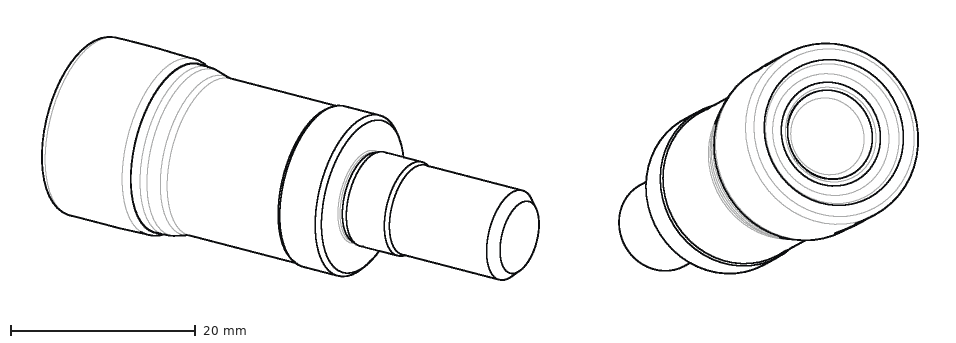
import cadquery as cq
import math

total_length = 54.95
cap_length = 11.3
body_end = 29.7
collar_start = 30.0
collar_end = 35.0
band_start = 36.15
band_end = 41.0

cap_radius = 9.95
cap_bulge = 0.03
cap_bulge_x = 4.4
cap_rear_radius = 9.85
cap_front_round = 0.7
cap_rear_round = 0.9
cap_rear_drop = 0.4

lip_radius = 8.0
lip_wall_radius = 7.7
lip_depth = 0.55
dish_radius = 6.7
dish_depth = 1.05
crown_radius = 5.7
crown_depth = 0.95
pocket_edge_radius = 5.2
pocket_edge_depth = 1.05
pocket_radius = 4.9
pocket_top_depth = 1.2
floor_radius = 4.25
floor_depth = 2.1

shoulder_radius = 18.8 / 2
body_radius = 17.6 / 2
collar_radius = 18.0 / 2
band_radius = 10.5 / 2
pin_radius = 10.0 / 2
taper_start = 12.85
taper_end = 15.1
taper_blend = 3.15
collar_chamfer = 0.5
neck_fillet = 0.15
neck_length = 0.5
band_relief = 0.5
tip_chamfer_length = 1.1
tip_chamfer_drop = 1.0


def revolve_about_x(profile):
    """Spin a closed (x, radius) profile fully around the X axis."""
    return profile.revolve(360, (0, 0, 0), (1, 0, 0))


def quarter_mid(corner_x, corner_r, side_x, side_r):
    """Middle point of a quarter ellipse centred at (corner_x, corner_r)."""
    diagonal = math.sqrt(0.5)
    return corner_x + side_x * diagonal, corner_r + side_r * diagonal


def make_cap():
    front_mid = quarter_mid(cap_front_round, cap_radius - cap_front_round, -cap_front_round, cap_front_round)
    rear_x = cap_length - cap_rear_round
    rear_r = cap_rear_radius - cap_rear_drop
    rear_mid = quarter_mid(rear_x, rear_r, cap_rear_round, cap_rear_drop)
    dish_mid = quarter_mid(lip_depth, dish_radius, dish_depth - lip_depth, lip_wall_radius - dish_radius)
    floor_mid = quarter_mid(
        pocket_top_depth, floor_radius, floor_depth - pocket_top_depth, pocket_radius - floor_radius
    )
    profile = (
        cq.Workplane("XY")
        .moveTo(floor_depth, 0)
        .lineTo(floor_depth, floor_radius)
        .threePointArc(floor_mid, (pocket_top_depth, pocket_radius))
        .lineTo(pocket_edge_depth, pocket_edge_radius)
        .lineTo(crown_depth, crown_radius)
        .lineTo(dish_depth, dish_radius)
        .threePointArc(dish_mid, (lip_depth, lip_wall_radius))
        .lineTo(0, lip_radius)
        .lineTo(0, cap_radius - cap_front_round)
        .threePointArc(front_mid, (cap_front_round, cap_radius))
        .threePointArc((cap_bulge_x, cap_radius + cap_bulge), (rear_x, cap_rear_radius))
        .threePointArc(rear_mid, (cap_length, rear_r))
        .lineTo(cap_length, 0)
        .close()
    )
    return revolve_about_x(profile)


def make_shank():
    taper_angle = math.atan2(shoulder_radius - body_radius, taper_end - taper_start)
    tangent = taper_blend * math.tan(taper_angle / 2)
    along_x = tangent * math.cos(taper_angle)
    along_r = tangent * math.sin(taper_angle)
    mid_x = taper_blend * math.sin(taper_angle / 2)
    mid_r = taper_blend * (1 - math.cos(taper_angle / 2))
    blend_in = taper_start - tangent
    blend_out = taper_end + tangent
    neck_mid = neck_fillet * (1 - math.sqrt(0.5))
    profile = (
        cq.Workplane("XY")
        .moveTo(cap_length, 0)
        .lineTo(cap_length, shoulder_radius)
        .lineTo(blend_in, shoulder_radius)
        .threePointArc(
            (blend_in + mid_x, shoulder_radius - mid_r),
            (taper_start + along_x, shoulder_radius - along_r),
        )
        .lineTo(taper_end - along_x, body_radius + along_r)
        .threePointArc((blend_out - mid_x, body_radius + mid_r), (blend_out, body_radius))
        .lineTo(body_end, body_radius)
        .lineTo(collar_start, collar_radius)
        .lineTo(collar_end - collar_chamfer, collar_radius)
        .lineTo(collar_end, collar_radius - collar_chamfer)
        .lineTo(collar_end, pin_radius + neck_fillet)
        .threePointArc(
            (collar_end + neck_mid, pin_radius + neck_mid),
            (collar_end + neck_fillet, pin_radius),
        )
        .lineTo(collar_end + neck_length, pin_radius)
        .lineTo(band_start, band_radius)
        .lineTo(band_end, band_radius)
        .lineTo(band_end + band_relief, pin_radius)
        .lineTo(total_length - tip_chamfer_length, pin_radius)
        .lineTo(total_length, pin_radius - tip_chamfer_drop)
        .lineTo(total_length, 0)
        .close()
    )
    return revolve_about_x(profile)


cap = make_cap()
shank = make_shank()
result = cq.Compound.makeCompound([cap.val(), shank.val()])